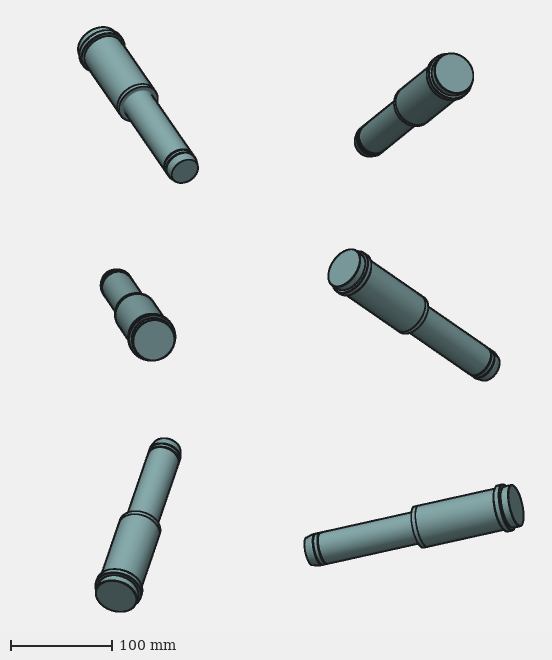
import cadquery as cq
import math


total_length = 220.0
collar_start = 9.0
collar_width = 6.0
collar_end = collar_start + collar_width
land_start = 99.0
shoulder_x = 103.5
nose_length = 7.0
nose_start = total_length - nose_length

body_diameter = 42.0
collar_diameter = 47.0
pin_diameter = 32.0
land_clearance = 0.02
land_diameter = body_diameter - land_clearance

rear_chamfer = 0.5
collar_chamfer = 0.5
shoulder_fillet = 1.0
nose_half_angle = 15.0
nose_drop = nose_length * math.tan(math.radians(nose_half_angle))

groove_radius = 0.5
collar_groove_centers = (collar_start - groove_radius, collar_end + groove_radius)
pin_groove_centers = (205.0, 210.0)


def cylinder(start, end, diameter):
    """Solid cylinder on the X axis between two stations."""
    return cq.Workplane("YZ", origin=(start, 0, 0)).circle(diameter / 2).extrude(end - start)


def make_body():
    """Large cylinder with a chamfered rear edge and a slightly smaller land at the front."""
    body = cylinder(0, land_start, body_diameter).faces("<X").chamfer(rear_chamfer)
    return body.union(cylinder(land_start, shoulder_x, land_diameter))


def make_collar():
    """Locating collar, chamfered on both rims."""
    return cylinder(collar_start, collar_end, collar_diameter).edges().chamfer(collar_chamfer)


def make_pin():
    """Slim front pin with a filleted root and a conical nose."""
    pin_radius = pin_diameter / 2
    return (
        cq.Workplane("XY")
        .moveTo(shoulder_x, 0)
        .lineTo(shoulder_x, pin_radius + shoulder_fillet)
        .radiusArc((shoulder_x + shoulder_fillet, pin_radius), -shoulder_fillet)
        .lineTo(nose_start, pin_radius)
        .lineTo(total_length, pin_radius - nose_drop)
        .lineTo(total_length, 0)
        .close()
        .revolve(360, (0, 0, 0), (1, 0, 0))
    )


def ring_groove(center_x, surface_diameter):
    """Half-round ring to cut from a cylindrical surface."""
    surface_radius = surface_diameter / 2
    return (
        cq.Workplane("XY")
        .moveTo(center_x - groove_radius, surface_radius)
        .threePointArc(
            (center_x, surface_radius - groove_radius),
            (center_x + groove_radius, surface_radius),
        )
        .lineTo(center_x + groove_radius, surface_radius + groove_radius)
        .lineTo(center_x - groove_radius, surface_radius + groove_radius)
        .close()
        .revolve(360, (0, 0, 0), (1, 0, 0))
    )


result = make_body().union(make_collar()).union(make_pin())

for center_x in collar_groove_centers:
    result = result.cut(ring_groove(center_x, body_diameter))

for center_x in pin_groove_centers:
    result = result.cut(ring_groove(center_x, pin_diameter))